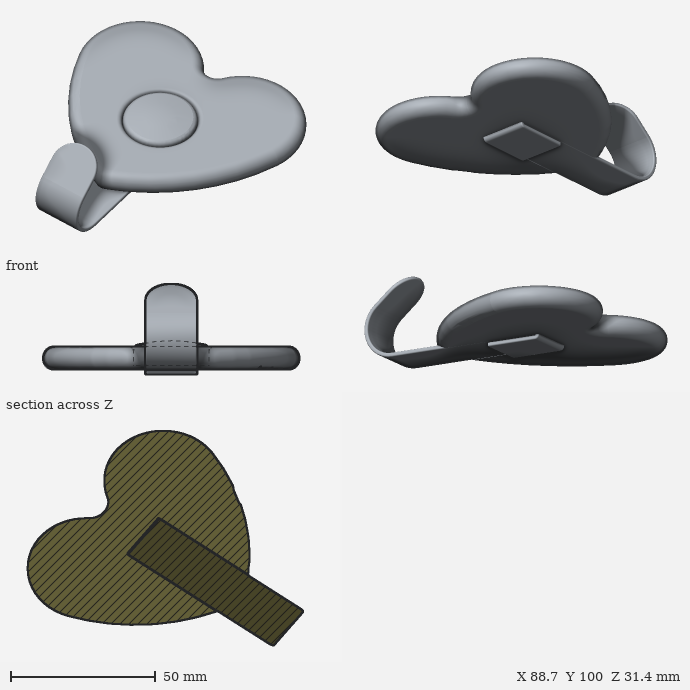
import cadquery as cq
import math

PLATE_THICKNESS = 8.0
RIM_RADIUS = PLATE_THICKNESS / 2
HEART_WIDTH = 88.7
LOBE_Y = 17.8
LOBE_RADIUS = 22.2
LOBE_X = HEART_WIDTH / 2 - LOBE_RADIUS
NOTCH_RADIUS = 4.7
FLANK_RADIUS = 77.0
FLANK_ANGLE = math.radians(-19)

BUTTON_RADIUS = 13.0
BUTTON_TOP_Z = 6.0
BUTTON_EDGE_RADIUS = 2.0
DOME_RADIUS = 50.0
SEAT_EDGE_RADIUS = 2.0

STRIP_WIDTH = 18.0
STRIP_THICKNESS = 1.5
STRIP_EDGE_RADIUS = 0.5
FOLD_GAP = 0.2
FOLD_END_Y = 10.0
FLAP_END_Y = -10.2
HOOK_END_Y = -60.0
CURL_RADIUS = 11.0
CURL_ANGLE = math.radians(140)
ARM_LENGTH = 16.3
ARM_CORNER_RADIUS = 8.8

HALF_WIDTH = STRIP_WIDTH / 2
PLATE_TOP_Z = PLATE_THICKNESS / 2
PLATE_BOTTOM_Z = -PLATE_THICKNESS / 2
STRIP_TOP_Z = PLATE_BOTTOM_Z + STRIP_THICKNESS


def polar(center, radius, angle):
    """Point at a radius and angle from a centre."""
    return center[0] + radius * math.cos(angle), center[1] + radius * math.sin(angle)


def mirrored(point):
    """Point reflected across the Y axis."""
    return -point[0], point[1]


LOBE = (LOBE_X, LOBE_Y)
NOTCH = (0, LOBE_Y + math.sqrt((LOBE_RADIUS + NOTCH_RADIUS) ** 2 - LOBE_X ** 2))
NOTCH_ANGLE = math.atan2(NOTCH[1] - LOBE_Y, -LOBE_X)
FLANK = polar(LOBE, LOBE_RADIUS - FLANK_RADIUS, FLANK_ANGLE)

FACE_LOBE_RADIUS = LOBE_RADIUS - RIM_RADIUS
FACE_NOTCH_RADIUS = NOTCH_RADIUS + RIM_RADIUS
FACE_FLANK_RADIUS = FLANK_RADIUS - RIM_RADIUS
TIP_ANGLE = -math.acos(-FLANK[0] / FACE_FLANK_RADIUS)
TIP = polar(FLANK, FACE_FLANK_RADIUS, TIP_ANGLE)


def heart_core():
    """Flat-faced middle of the heart, inside the rounded rim."""
    notch_joint = polar(LOBE, FACE_LOBE_RADIUS, NOTCH_ANGLE)
    lobe_mid = polar(LOBE, FACE_LOBE_RADIUS, (NOTCH_ANGLE + FLANK_ANGLE) / 2)
    flank_joint = polar(LOBE, FACE_LOBE_RADIUS, FLANK_ANGLE)
    flank_mid = polar(FLANK, FACE_FLANK_RADIUS, (FLANK_ANGLE + TIP_ANGLE) / 2)
    notch_bottom = (0, NOTCH[1] - FACE_NOTCH_RADIUS)
    outline = (
        cq.Workplane("XY", origin=(0, 0, PLATE_BOTTOM_Z))
        .moveTo(*notch_joint)
        .threePointArc(lobe_mid, flank_joint)
        .threePointArc(flank_mid, TIP)
        .threePointArc(mirrored(flank_mid), mirrored(flank_joint))
        .threePointArc(mirrored(lobe_mid), mirrored(notch_joint))
        .threePointArc(notch_bottom, notch_joint)
        .close()
    )
    return outline.extrude(PLATE_THICKNESS)


def rim_segment(center, face_radius, start_angle, end_angle, outward=1):
    """Half disc revolved about an arc centre; outward is -1 where it bulges to the centre."""
    direction = (math.cos(start_angle), math.sin(start_angle), 0)
    plane = cq.Plane(
        origin=(*center, 0),
        xDir=direction,
        normal=(direction[1], -direction[0], 0),
    )
    half_disc = (
        cq.Workplane(plane)
        .moveTo(face_radius, -RIM_RADIUS)
        .threePointArc((face_radius + outward * RIM_RADIUS, 0), (face_radius, RIM_RADIUS))
        .close()
    )
    sweep = math.degrees(end_angle - start_angle)
    return half_disc.revolve(sweep, (0, 0, 0), (0, 1, 0))


def heart_rim():
    """Rounded rim of the right half, then the same for the left half."""
    down = -math.pi / 2
    segments = [
        rim_segment(LOBE, FACE_LOBE_RADIUS, FLANK_ANGLE, NOTCH_ANGLE),
        rim_segment(FLANK, FACE_FLANK_RADIUS, TIP_ANGLE, FLANK_ANGLE),
        rim_segment(TIP, 0, down, TIP_ANGLE),
        rim_segment(NOTCH, FACE_NOTCH_RADIUS, down, NOTCH_ANGLE - math.pi, outward=-1),
    ]
    return segments + [segment.mirror("YZ") for segment in segments]


def button_seat():
    """Round seat for the button, open at the top with a rounded lip."""
    lip_radius = BUTTON_RADIUS + SEAT_EDGE_RADIUS
    lip_z = PLATE_TOP_Z - SEAT_EDGE_RADIUS
    lip_offset = SEAT_EDGE_RADIUS * math.sqrt(0.5)
    profile = (
        cq.Workplane("XZ")
        .moveTo(0, STRIP_TOP_Z)
        .lineTo(BUTTON_RADIUS, STRIP_TOP_Z)
        .lineTo(BUTTON_RADIUS, lip_z)
        .threePointArc((lip_radius - lip_offset, lip_z + lip_offset), (lip_radius, PLATE_TOP_Z))
        .lineTo(0, PLATE_TOP_Z)
        .close()
    )
    return profile.revolve(360, (0, 0, 0), (0, 1, 0))


def strip_slot():
    """Slot in the underside that takes the strip flush, open past the heart's tip."""
    length = FOLD_END_Y - HOOK_END_Y
    slot = cq.Workplane("XY", origin=(0, HOOK_END_Y, PLATE_BOTTOM_Z))
    return slot.box(STRIP_WIDTH, length, STRIP_THICKNESS, centered=(True, False, False))


def make_heart():
    """Rounded heart plate with the button seat and the strip slot."""
    body = heart_core()
    for segment in heart_rim():
        body = body.union(segment, clean=False)
    return body.cut(button_seat(), clean=False).cut(strip_slot(), clean=False)


def make_button():
    """Domed round button with a rounded edge, resting on the strip."""
    cylinder = (
        cq.Workplane("XY", origin=(0, 0, STRIP_TOP_Z))
        .circle(BUTTON_RADIUS)
        .extrude(BUTTON_TOP_Z - STRIP_TOP_Z)
    )
    dome = cq.Workplane("XY", origin=(0, 0, BUTTON_TOP_Z - DOME_RADIUS)).sphere(DOME_RADIUS)
    return cylinder.intersect(dome).faces(">Z").edges().fillet(BUTTON_EDGE_RADIUS)


def strip_profile():
    """Side outline of the bent strip, in Y and Z, starting at the flap under the plate."""
    curl = (HOOK_END_Y + CURL_RADIUS, PLATE_BOTTOM_Z + CURL_RADIUS)
    inner_curl_radius = CURL_RADIUS - STRIP_THICKNESS
    mid_angle = -math.pi / 2 - CURL_ANGLE / 2
    end_angle = -math.pi / 2 - CURL_ANGLE
    outer_bend_end = polar(curl, CURL_RADIUS, end_angle)
    inner_bend_end = polar(curl, inner_curl_radius, end_angle)
    arm_direction = math.pi - CURL_ANGLE

    half_gap = FOLD_GAP / 2
    fold_radius = half_gap + STRIP_THICKNESS
    fold = (FOLD_END_Y - fold_radius, PLATE_BOTTOM_Z - half_gap)
    return (
        cq.Workplane("YZ", origin=(-HALF_WIDTH, 0, 0))
        .moveTo(FLAP_END_Y, fold[1] - fold_radius)
        .lineTo(fold[0], fold[1] - fold_radius)
        .threePointArc((FOLD_END_Y, fold[1]), (fold[0], STRIP_TOP_Z))
        .lineTo(curl[0], STRIP_TOP_Z)
        .threePointArc(polar(curl, inner_curl_radius, mid_angle), inner_bend_end)
        .lineTo(*polar(inner_bend_end, ARM_LENGTH, arm_direction))
        .lineTo(*polar(outer_bend_end, ARM_LENGTH, arm_direction))
        .lineTo(*outer_bend_end)
        .threePointArc(polar(curl, CURL_RADIUS, mid_angle), (curl[0], PLATE_BOTTOM_Z))
        .lineTo(fold[0], PLATE_BOTTOM_Z)
        .threePointArc((fold[0] + half_gap, fold[1]), (fold[0], fold[1] - half_gap))
        .lineTo(FLAP_END_Y, fold[1] - half_gap)
        .close()
    )


def make_hook():
    """Bent strip with a round-ended arm and softened edges."""
    across_arm = (0, math.sin(CURL_ANGLE), math.cos(CURL_ANGLE))
    corners = cq.selectors.ParallelDirSelector(cq.Vector(*across_arm))
    strip = strip_profile().extrude(STRIP_WIDTH)
    rounded = strip.edges(corners).fillet(ARM_CORNER_RADIUS)
    return rounded.faces("<X or >X").edges("not |Z").fillet(STRIP_EDGE_RADIUS)


heart = make_heart()
button = make_button()
hook = make_hook()
result = cq.Compound.makeCompound([heart.solids().val(), button.solids().val(), hook.solids().val()])